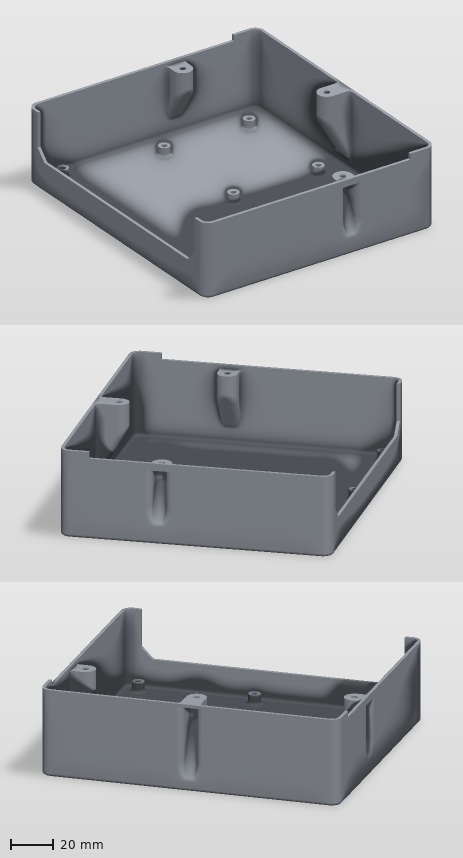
import cadquery as cq
import math

LENGTH = 149.2
WIDTH = 133.2
WALL = 1.6
RIM_HEIGHT = 40.4
BACK_HEIGHT = 43.6
RAISED_RIM_DEPTH = 14.8
CORNER_RADIUS = 5.2
BOTTOM_EDGE_RADIUS = 1.6
FLOOR_FILLET = 1.6

OPENING_WIDTH = 131.4
OPENING_SILL = 15.8
OPENING_CHAMFER = 5.8

BOSS_RADIUS = 5.0
BOSS_HOLE_DIAMETER = 3.2
BOSS_SLOPE = math.radians(30)
BOSS_EDGE_FILLET = 2.8
HOLLOW_EDGE_FILLET = 1.6
BOSS_WALL_FILLET = 1.6
SIDE_BOSS_Y = 18.0
SIDE_BOSS_REACH = 6.0
SIDE_BOSS_TOP = 38.4
SIDE_BOSS_TIP = 10.2
BACK_BOSS_REACH = 10.0
BACK_BOSS_TOP = BACK_HEIGHT
BACK_BOSS_TIP = 12.3

POST_DIAMETER = 6.0
POST_HOLE_DIAMETER = 2.85
POST_HOLE_MOUTH_DIAMETER = 3.2
POST_HEIGHT = 5.0
POST_FOOT_FILLET = 1.6
BOARD_HOLE_PITCH_X = 58.0
BOARD_HOLE_PITCH_Y = 49.0
BACK_BOARD_CORNER = (-57.1, 0.5)
FRONT_BOARD_CORNER = (7.1, -58.6)
SINGLE_POST = (-65.6, -52.1)

ARC_MIDPOINT_INSET = 1 - math.sqrt(0.5)
SELECT_MARGIN = 0.01


def rounded_block(length, width, bottom, top, corner_radius, bottom_radius):
    block = cq.Workplane("XY").workplane(offset=bottom).rect(length, width).extrude(top - bottom)
    block = block.edges("|Z").fillet(corner_radius)
    return block.faces("<Z").edges().fillet(bottom_radius)


def make_tray():
    outer = rounded_block(LENGTH, WIDTH, 0, BACK_HEIGHT, CORNER_RADIUS, BOTTOM_EDGE_RADIUS)
    cavity = rounded_block(
        LENGTH - 2 * WALL, WIDTH - 2 * WALL, WALL, BACK_HEIGHT, CORNER_RADIUS - WALL, FLOOR_FILLET
    )
    low_rim_depth = WIDTH - RAISED_RIM_DEPTH
    above_low_rim = cq.Workplane("XY").box(
        LENGTH, low_rim_depth, BACK_HEIGHT - RIM_HEIGHT, centered=(True, False, False)
    ).translate((0, -WIDTH / 2, RIM_HEIGHT))
    return outer.cut(cavity).cut(above_low_rim)


def make_front_opening():
    opening = cq.Workplane("XY").box(
        OPENING_WIDTH, 2 * WALL, BACK_HEIGHT, centered=(True, True, False)
    )
    opening = opening.faces("<Z").edges("|Y").chamfer(OPENING_CHAMFER)
    return opening.translate((0, -WIDTH / 2, OPENING_SILL))


def flared_boss(wall_face, hole_x, radius, top, tip_height, edge_fillet, wall_fillet):
    """Boss growing along +X from a wall slab whose surface is at x = wall_face."""
    back = wall_face - WALL
    tip_x = hole_x + radius
    tip_bottom = top - tip_height
    root_bottom = tip_bottom - (tip_x - back) / math.tan(BOSS_SLOPE)

    plan = (
        cq.Workplane("XY").workplane(offset=root_bottom)
        .moveTo(back, -radius).lineTo(hole_x, -radius)
        .threePointArc((tip_x, 0), (hole_x, radius)).lineTo(back, radius).close()
        .extrude(top - root_bottom)
    )
    side = (
        cq.Workplane("XZ", origin=(0, radius, 0))
        .polyline([(back, root_bottom), (tip_x, tip_bottom), (tip_x, top), (back, top)]).close()
        .extrude(2 * radius)
    )
    boss = plan.intersect(side)
    slope_normal = cq.Vector(math.cos(BOSS_SLOPE), 0, -math.sin(BOSS_SLOPE))
    slope_face = boss.faces(cq.selectors.DirectionMinMaxSelector(slope_normal, True))
    boss = slope_face.edges("not <X").fillet(edge_fillet)

    slab_width = 2 * (radius + 2 * wall_fillet)
    slab = cq.Workplane("XY").box(WALL, slab_width, top - WALL, centered=(False, True, False))
    slab = slab.translate((back, 0, WALL))
    joined = slab.union(boss)
    seam_box = cq.selectors.BoxSelector(
        (wall_face - SELECT_MARGIN, -radius - SELECT_MARGIN, 0),
        (wall_face + SELECT_MARGIN, radius + SELECT_MARGIN, top),
        boundingbox=True,
    )
    return joined.edges(seam_box).fillet(wall_fillet)


def make_back_boss_foot():
    """Flared, square-edged root of the back boss, filling in below its rounded slope."""
    half_flare = BOSS_RADIUS + BOSS_WALL_FILLET
    front = WALL + BOSS_WALL_FILLET
    arc_inset = BOSS_WALL_FILLET * ARC_MIDPOINT_INSET
    tip_x = WALL + BACK_BOSS_REACH + BOSS_RADIUS
    tip_bottom = BACK_BOSS_TOP - BACK_BOSS_TIP
    wall_bottom = tip_bottom - (tip_x - WALL) / math.tan(BOSS_SLOPE)
    front_bottom = wall_bottom + BOSS_WALL_FILLET / math.tan(BOSS_SLOPE)

    plan = (
        cq.Workplane("XY").workplane(offset=wall_bottom)
        .moveTo(WALL, -half_flare)
        .threePointArc((WALL + arc_inset, -BOSS_RADIUS - arc_inset), (front, -BOSS_RADIUS))
        .lineTo(front, BOSS_RADIUS)
        .threePointArc((WALL + arc_inset, BOSS_RADIUS + arc_inset), (WALL, half_flare))
        .close().extrude(tip_bottom - wall_bottom)
    )
    side = (
        cq.Workplane("XZ", origin=(0, half_flare, 0))
        .polyline([(WALL, wall_bottom), (front, front_bottom), (front, tip_bottom), (WALL, tip_bottom)])
        .close().extrude(2 * half_flare)
    )
    return plan.intersect(side)


def place_on_wall(body, angle, position):
    """Turn local +X (outer wall face into the tray) by angle and move the body to its wall."""
    return body.rotate((0, 0, 0), (0, 0, 1), angle).translate(position)


def add_boss(tray, reach, top, tip_height, angle, position):
    """Fuse one hollow boss to a wall; local +X points from the outer wall face into the tray."""
    hole_x = WALL + reach
    tip_rise = WALL * math.tan(BOSS_SLOPE / 2)
    hollow_tip_height = tip_height - WALL - tip_rise
    shell = flared_boss(WALL, hole_x, BOSS_RADIUS, top, tip_height, BOSS_EDGE_FILLET, BOSS_WALL_FILLET)
    hollow = flared_boss(
        0, hole_x, BOSS_RADIUS - WALL, top - WALL, hollow_tip_height,
        HOLLOW_EDGE_FILLET, BOSS_WALL_FILLET + WALL,
    )
    hole = cq.Workplane("XY").center(hole_x, 0).circle(BOSS_HOLE_DIAMETER / 2).extrude(2 * WALL)
    hole = hole.translate((0, 0, top - 2 * WALL))
    tray = tray.union(place_on_wall(shell, angle, position))
    tray = tray.cut(place_on_wall(hollow, angle, position))
    return tray.cut(place_on_wall(hole, angle, position))


def board_corners(corner, rows):
    """Post places of a board, from its (-X, -Y) corner: two per row."""
    x, y = corner
    return [
        (x + column * BOARD_HOLE_PITCH_X, y + row * BOARD_HOLE_PITCH_Y)
        for row in range(rows)
        for column in range(2)
    ]


def make_post():
    """Drilled post with a flared foot, turned about Z; its root is sunk halfway into the floor."""
    hole_radius = POST_HOLE_DIAMETER / 2
    mouth_radius = POST_HOLE_MOUTH_DIAMETER / 2
    lead_in = mouth_radius - hole_radius
    post_radius = POST_DIAMETER / 2
    foot_radius = post_radius + POST_FOOT_FILLET
    root = -WALL / 2
    arc_inset = POST_FOOT_FILLET * ARC_MIDPOINT_INSET
    return (
        cq.Workplane("XZ")
        .moveTo(hole_radius, root)
        .lineTo(foot_radius, root)
        .lineTo(foot_radius, 0)
        .threePointArc((post_radius + arc_inset, arc_inset), (post_radius, POST_FOOT_FILLET))
        .lineTo(post_radius, POST_HEIGHT)
        .lineTo(mouth_radius, POST_HEIGHT)
        .lineTo(hole_radius, POST_HEIGHT - lead_in)
        .close()
        .revolve(360, (0, 0, 0), (0, 1, 0))
        .translate((0, 0, WALL))
    )


left_place = (0, (-LENGTH / 2, SIDE_BOSS_Y, 0))
right_place = (180, (LENGTH / 2, SIDE_BOSS_Y, 0))
back_place = (-90, (0, WIDTH / 2, 0))

result = make_tray().cut(make_front_opening())

for side_place in (left_place, right_place):
    result = add_boss(result, SIDE_BOSS_REACH, SIDE_BOSS_TOP, SIDE_BOSS_TIP, *side_place)

result = result.union(place_on_wall(make_back_boss_foot(), *back_place))
result = add_boss(result, BACK_BOSS_REACH, BACK_BOSS_TOP, BACK_BOSS_TIP, *back_place)

post_places = board_corners(BACK_BOARD_CORNER, 2) + board_corners(FRONT_BOARD_CORNER, 1) + [SINGLE_POST]
for x, y in post_places:
    result = result.union(make_post().translate((x, y, 0)))

result = result.solids()